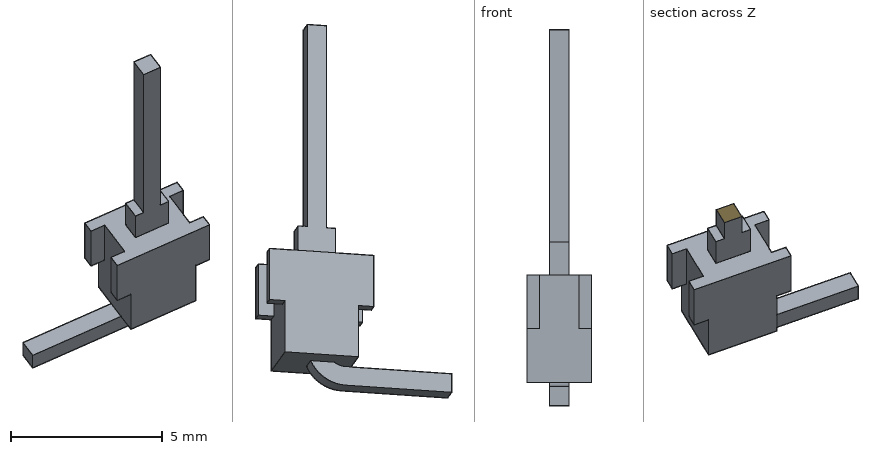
import cadquery as cq

pin_size = 0.64
total_height = 12.38
tail_reach = 4.54
bend_inner_radius = 0.64
bend_outer_radius = bend_inner_radius + pin_size

collar_depth = 1.26
collar_top = 5.4

housing_width = 2.13
housing_depth = 2.48
housing_bottom = 0.77
housing_top = 4.31

flange_length = 3.52
flange_bottom = (housing_bottom + housing_top) / 2
flange_gap = 1.31
flange_thickness = (housing_width - flange_gap) / 2


def centered_block(width, depth, bottom, top):
    """Block centered on the pin axis between two heights."""
    return cq.Workplane("XY").workplane(offset=bottom).rect(width, depth).extrude(top - bottom)


def bent_pin():
    """Pin profile in the YZ plane, extruded evenly about X = 0."""
    half = pin_size / 2
    bend_y = half - bend_outer_radius
    bend_z = bend_outer_radius
    return (
        cq.Workplane("YZ")
        .moveTo(half, total_height)
        .lineTo(half, bend_z)
        .radiusArc((bend_y, 0), bend_outer_radius)
        .lineTo(-tail_reach, 0)
        .lineTo(-tail_reach, pin_size)
        .lineTo(bend_y, pin_size)
        .radiusArc((-half, bend_z), -bend_inner_radius)
        .lineTo(-half, total_height)
        .close()
        .extrude(half, both=True)
    )


def side_flange(side):
    """Plate flush with one X face, overhanging the housing at both Y ends."""
    center_x = side * (housing_width - flange_thickness) / 2
    plate = centered_block(flange_thickness, flange_length, flange_bottom, housing_top)
    return plate.translate((center_x, 0, 0))


result = centered_block(housing_width, housing_depth, housing_bottom, housing_top)
for side in (-1, 1):
    result = result.union(side_flange(side))
result = result.union(centered_block(pin_size, collar_depth, housing_bottom, collar_top))
result = result.union(bent_pin())